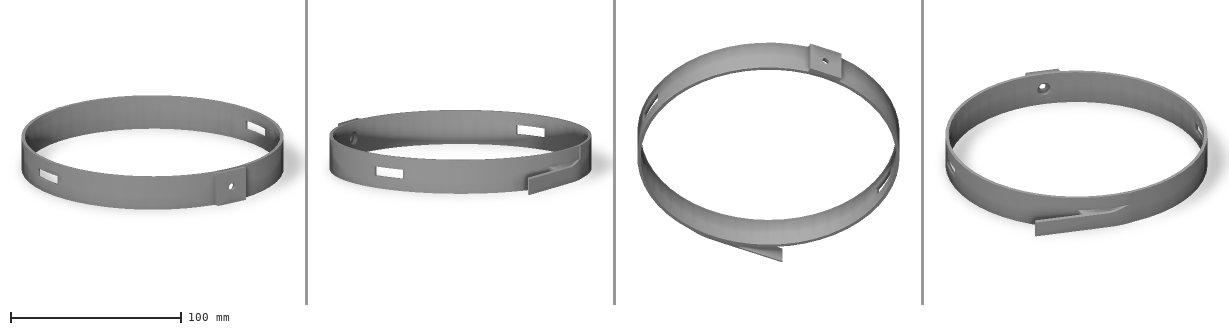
import cadquery as cq
import math

height = 20.0
inner_radius = 150.0 / 2
outer_radius = 154.0 / 2
embed_radius = (inner_radius + outer_radius) / 2
margin = 3.2

slot_length = 20.2
slot_height = 5.7

block_width = 20.0
block_face_x = 79.4
screw_diameter = 4.3
head_diameter = 8.0
head_depth = 2.5
block_fillet = 1.0

tongue_outer_x = block_face_x - 157.5
tongue_thickness = 1.0
tongue_inner_x = tongue_outer_x + tongue_thickness
tongue_end_y = 45.4
lead_in_start_y = -15.5
lead_in_end_y = 0.0
web_end_y = 16.5
web_root_y = 18.7

relief_start_y = -11.5
web_top_z = 12.1
tongue_top_z = 10.2


def circle_x(radius, y):
    """X of the circle of the given radius at y, on the -X side."""
    return -math.sqrt(radius**2 - y**2)


def make_ring():
    ring = cq.Workplane("XY").circle(outer_radius).circle(inner_radius).extrude(height)
    slots = cq.Workplane("XY").box(slot_length, 3 * outer_radius, slot_height)
    return ring.cut(slots.translate((0, 0, height / 2)))


def make_ring_with_block():
    """Ring with the screw block, rounded in the corners where the two meet."""
    block = (
        cq.Workplane("XY")
        .box(block_face_x, block_width, height, centered=(False, True, False))
        .cut(cq.Workplane("XY").circle(embed_radius).extrude(height))
    )
    half_width = block_width / 2
    corner_x = math.sqrt(outer_radius**2 - half_width**2)
    body = make_ring().union(block)
    for corner_y in (-half_width, half_width):
        corner = cq.selectors.NearestToPointSelector((corner_x, corner_y, height / 2))
        body = body.edges("|Z").edges(corner).fillet(block_fillet)
    return body


def make_screw_hole():
    """Through hole along X, counterbored from the inside of the ring."""
    axis = cq.Workplane("YZ").center(0, height / 2)
    shank = axis.circle(screw_diameter / 2).extrude(block_face_x + margin)
    head = axis.circle(head_diameter / 2).extrude(inner_radius + head_depth)
    return shank.union(head)


def make_tongue_blank():
    """Full-height lead-in, web and strip, before the top is cut down."""
    rise = circle_x(outer_radius, lead_in_start_y) - tongue_outer_x
    run = lead_in_end_y - lead_in_start_y
    lead_in_radius = (rise**2 + run**2) / (2 * rise)
    half_sweep = math.asin(run / lead_in_radius) / 2
    lead_in_middle = (
        tongue_outer_x + lead_in_radius * (1 - math.cos(half_sweep)),
        lead_in_end_y - lead_in_radius * math.sin(half_sweep),
    )
    return (
        cq.Workplane("XY")
        .moveTo(circle_x(outer_radius, lead_in_start_y), lead_in_start_y)
        .threePointArc(lead_in_middle, (tongue_outer_x, lead_in_end_y))
        .lineTo(tongue_outer_x, tongue_end_y)
        .lineTo(tongue_inner_x, tongue_end_y)
        .lineTo(tongue_inner_x, web_end_y)
        .lineTo(circle_x(outer_radius, web_root_y), web_root_y)
        .lineTo(circle_x(embed_radius, web_root_y), web_root_y)
        .threePointArc(
            (-embed_radius, 0),
            (circle_x(embed_radius, lead_in_start_y), lead_in_start_y),
        )
        .close()
        .extrude(height)
    )


def relief_section(y, edge_z):
    """Outline of the space above the tongue at y; its floor falls from the ring to the tongue."""
    ring_x = circle_x(outer_radius, min(y, web_root_y))
    far_x = tongue_outer_x - margin
    top_z = height + margin
    inside_x = -inner_radius + margin
    points = [
        (inside_x, top_z),
        (inside_x, web_top_z),
        (ring_x, web_top_z),
        (tongue_inner_x, edge_z),
        (far_x, edge_z - (tongue_inner_x - far_x)),
        (far_x, top_z),
    ]
    return cq.Wire.makePolygon([cq.Vector(x, y, z) for x, z in points], close=True)


def make_relief():
    """Ruled cut over the tongue, with a floor that slopes down and outward."""
    sections = [
        relief_section(relief_start_y, web_top_z),
        relief_section(lead_in_end_y, tongue_top_z),
        relief_section(web_root_y / 2, tongue_top_z),
        relief_section(web_root_y, tongue_top_z),
        relief_section(tongue_end_y + margin, tongue_top_z),
    ]
    return cq.Workplane(obj=cq.Solid.makeLoft(sections, True))


tongue = make_tongue_blank().cut(make_relief())
result = make_ring_with_block().union(tongue).cut(make_screw_hole())